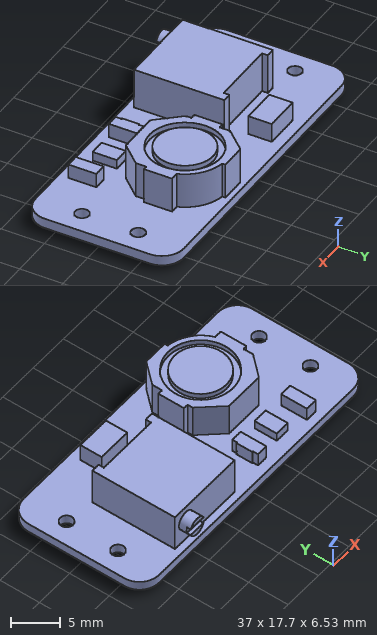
import cadquery as cq
import math

board_length = 37.0
board_width = 17.17
board_thickness = 1.2
board_corner_radius = 2.5

wire_hole_diameter = 1.6
wire_hole_pitch_x = 31.75
wire_hole_pitch_y = 6.5

trimmer_left = -12.25
trimmer_front = -7.7
trimmer_length = 9.85
trimmer_width = 10.47
trimmer_height = 4.7
trimmer_notch_margin = 1.05
trimmer_notch_depth = 0.65

screw_diameter = 2.25
screw_x = -10.47
screw_height = 2.8
screw_tip_y = -9.15
screw_slot_width = 0.8
screw_slot_depth = 0.48

joint_diameter = 2.15
joint_height = 0.63
joint_rounding = 0.45
joint_places = [(-9.05, -5.48), (-6.45, -2.55), (-3.95, -5.48)]

inductor_height = 4.1
inductor_left = 1.15
inductor_right = 10.62
inductor_front = -2.4
inductor_back = 7.92
inductor_front_flat = (3.55, 8.48)
inductor_left_flat = (0.37, 5.48)
inductor_right_flat = (-0.05, 4.45)
inductor_back_flat = (3.33, 6.35)
coil_x = 5.7
coil_y = 2.85
coil_corner_radius = 4.75
coil_groove_diameter = 8.18
coil_core_diameter = 6.55
coil_groove_depth = 0.63

terminal_reach_left = 0.6
terminal_reach_right = 0.48
terminal_length = 3.25
left_terminal_front = 1.0

diode_left = -8.4
diode_front = 4.55
diode_length = 4.22
diode_width = 2.7
diode_height = 2.22

resistor_left = 5.7
resistor_front = -6.8
resistor_length = 1.8
resistor_width = 2.8
resistor_height = 1.07

capacitor_height = 1.65
capacitor_width = 3.25
input_capacitor_left = 9.8
input_capacitor_front = -7.48
input_capacitor_length = 1.48
output_capacitor_left = 1.9
output_capacitor_front = -7.35
output_capacitor_length = 1.37
output_capacitor_overhang = 0.1
output_capacitor_body_front = -6.7
output_capacitor_body_width = 2.0


def block_on_board(left, front, length, width, height):
    """Rectangular block standing on the top of the board."""
    return (
        cq.Workplane("XY", origin=(left, front, board_thickness))
        .box(length, width, height, centered=False)
    )


def make_board():
    return (
        cq.Workplane("XY")
        .rect(board_length, board_width)
        .extrude(board_thickness)
        .edges("|Z")
        .fillet(board_corner_radius)
        .faces(">Z")
        .workplane()
        .rarray(wire_hole_pitch_x, wire_hole_pitch_y, 2, 2)
        .hole(wire_hole_diameter)
    )


def make_trimmer():
    body = block_on_board(trimmer_left, trimmer_front, trimmer_length, trimmer_width, trimmer_height)
    notch = block_on_board(
        trimmer_left + trimmer_notch_margin,
        trimmer_front + trimmer_width - trimmer_notch_depth,
        trimmer_length - 2 * trimmer_notch_margin,
        trimmer_notch_depth,
        trimmer_height,
    )
    return body.cut(notch)


def make_screw():
    screw_z = board_thickness + screw_height
    shank = (
        cq.Workplane("XZ", origin=(screw_x, trimmer_front, screw_z))
        .circle(screw_diameter / 2)
        .extrude(trimmer_front - screw_tip_y)
    )
    slot = (
        cq.Workplane("XZ", origin=(screw_x, screw_tip_y, screw_z))
        .rect(screw_diameter, screw_slot_width)
        .extrude(-screw_slot_depth)
    )
    return shank.cut(slot)


def make_solder_joints():
    return (
        cq.Workplane("XY")
        .pushPoints(joint_places)
        .circle(joint_diameter / 2)
        .extrude(-joint_height)
        .faces("<Z")
        .edges()
        .fillet(joint_rounding)
    )


def make_inductor():
    front_flat_left, front_flat_right = inductor_front_flat
    left_flat_front, left_flat_back = inductor_left_flat
    right_flat_front, right_flat_back = inductor_right_flat
    back_flat_left, back_flat_right = inductor_back_flat

    start_angle = math.acos((back_flat_right - coil_x) / coil_corner_radius)
    end_angle = math.asin((right_flat_back - coil_y) / coil_corner_radius)

    def corner_point(angle):
        return (
            coil_x + coil_corner_radius * math.cos(angle),
            coil_y + coil_corner_radius * math.sin(angle),
        )

    body = (
        cq.Workplane("XY", origin=(0, 0, board_thickness))
        .moveTo(front_flat_left, inductor_front)
        .lineTo(front_flat_right, inductor_front)
        .lineTo(inductor_right, right_flat_front)
        .lineTo(inductor_right, right_flat_back)
        .lineTo(*corner_point(end_angle))
        .threePointArc(corner_point((start_angle + end_angle) / 2), corner_point(start_angle))
        .lineTo(back_flat_right, inductor_back)
        .lineTo(back_flat_left, inductor_back)
        .lineTo(inductor_left, left_flat_back)
        .lineTo(inductor_left, left_flat_front)
        .close()
        .extrude(inductor_height)
    )
    groove = (
        cq.Workplane("XY", origin=(coil_x, coil_y, board_thickness + inductor_height))
        .circle(coil_groove_diameter / 2)
        .circle(coil_core_diameter / 2)
        .extrude(-coil_groove_depth)
    )
    left_terminal = block_on_board(
        inductor_left - terminal_reach_left,
        left_terminal_front,
        terminal_reach_left,
        terminal_length,
        inductor_height,
    )
    right_terminal = block_on_board(
        inductor_right,
        right_flat_back - terminal_length,
        terminal_reach_right,
        terminal_length,
        inductor_height,
    )
    return body.cut(groove).union(left_terminal).union(right_terminal)


def make_diode():
    return block_on_board(diode_left, diode_front, diode_length, diode_width, diode_height)


def make_resistor():
    return block_on_board(
        resistor_left, resistor_front, resistor_length, resistor_width, resistor_height
    )


def make_input_capacitor():
    return block_on_board(
        input_capacitor_left,
        input_capacitor_front,
        input_capacitor_length,
        capacitor_width,
        capacitor_height,
    )


def make_output_capacitor():
    core = block_on_board(
        output_capacitor_left,
        output_capacitor_front,
        output_capacitor_length,
        capacitor_width,
        capacitor_height,
    )
    overhang = block_on_board(
        output_capacitor_left - output_capacitor_overhang,
        output_capacitor_body_front,
        output_capacitor_overhang,
        output_capacitor_body_width,
        capacitor_height,
    )
    return core.union(overhang)


components = [
    make_trimmer(),
    make_screw(),
    make_solder_joints(),
    make_inductor(),
    make_diode(),
    make_resistor(),
    make_input_capacitor(),
    make_output_capacitor(),
]

result = make_board()
for component in components:
    result = result.union(component)